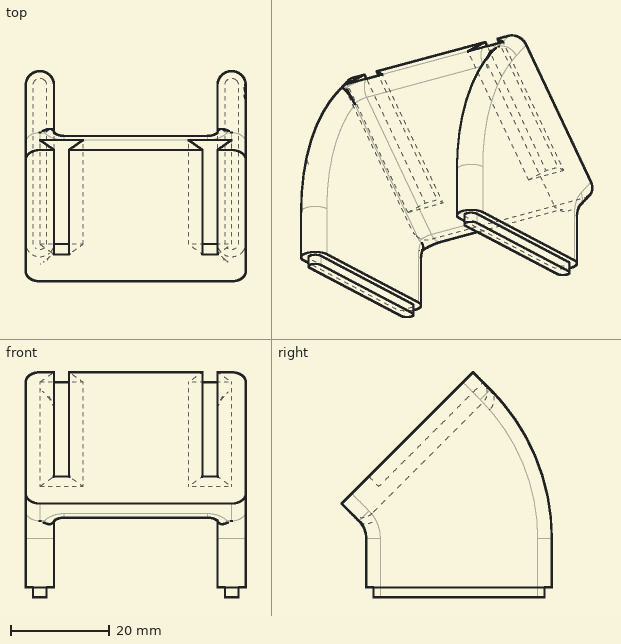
import cadquery as cq

overall_width = 44.8
wall_thickness = 5.8
edge_radius = wall_thickness / 2
round_center_span = 32.0
wall_length = round_center_span + wall_thickness
wall_center_x = (overall_width - wall_thickness) / 2
wall_inner_x = overall_width / 2 - wall_thickness
wall_height = 10.0

tongue_height = 2.0
tongue_thickness = 2.8

bend_angle = 45.0
bend_inner_radius = 5.0
pivot_y = -(wall_length / 2 + bend_inner_radius)

head_height = 5.0
bridge_thickness = wall_thickness
inner_corner_radius = 2.0
face_z = wall_height + head_height
bridge_underside_z = face_z - bridge_thickness
head_bottom_z = bridge_underside_z - inner_corner_radius

slot_mouth = 3.0
slot_depth = 2.9
slot_floor = slot_mouth + 2 * slot_depth
slot_length = 30.0
slot_center_x = wall_inner_x - slot_mouth / 2


def stadium(z, thickness):
    """Section of the -X wall: a Y-long slot outline around the common round centers."""
    return (
        cq.Workplane("XY", origin=(-wall_center_x, 0, z))
        .slot2D(round_center_span + thickness, thickness, 90)
    )


def tilt(body):
    """Carry a body from the upright position round the bend."""
    return body.rotate((0, pivot_y, wall_height), (1, pivot_y, wall_height), bend_angle)


def bend_up(section):
    """Sweep a section at the top of the upright walls round the bend."""
    return section.revolve(bend_angle, (0, pivot_y, 0), (1, pivot_y, 0))


def make_wall():
    """The -X wall with its tongue and its bend."""
    tongue = stadium(-tongue_height, tongue_thickness).extrude(tongue_height)
    upright = stadium(0, wall_thickness).extrude(wall_height)
    bend = bend_up(stadium(wall_height, wall_thickness))
    return tongue.union(upright).union(bend)


def make_head_envelope():
    """Tilted space of the head: its rounded outline, and below it the bend between the wall centers."""
    outline = (
        cq.Workplane("XY", origin=(0, 0, wall_height))
        .rect(overall_width, wall_length)
        .extrude(head_height)
        .edges("|Z")
        .fillet(edge_radius)
    )
    bend_zone = bend_up(
        cq.Workplane("XY", origin=(0, 0, wall_height)).rect(2 * wall_center_x, wall_length)
    )
    return tilt(outline).union(bend_zone)


def make_head():
    """Tilted bridge and wall tops, with the rim of the passage rounded over."""
    block = (
        cq.Workplane("XY", origin=(0, 0, head_bottom_z))
        .rect(overall_width, wall_length)
        .extrude(face_z - head_bottom_z)
    )
    passage = (
        cq.Workplane("XY")
        .rect(2 * wall_inner_x, wall_length)
        .extrude(bridge_underside_z)
        .edges("|Y and >Z")
        .fillet(inner_corner_radius)
    )
    arch = block.cut(passage)
    rim = cq.selectors.BoxSelector(
        (-wall_center_x, -wall_length, 0),
        (wall_center_x, wall_length, bridge_underside_z + edge_radius),
    )
    arch = arch.edges("<Y or >Y").edges(rim).fillet(edge_radius)
    return tilt(arch).intersect(make_head_envelope())


def make_dovetail():
    """Cutter for the -X slot, its mouth in line with the inner face of the wall."""
    half_mouth = slot_mouth / 2
    half_floor = slot_floor / 2
    return (
        cq.Workplane("XZ", origin=(-slot_center_x, wall_length / 2, face_z))
        .polyline([
            (-half_mouth, 0),
            (half_mouth, 0),
            (half_floor, -slot_depth),
            (-half_floor, -slot_depth),
        ])
        .close()
        .extrude(slot_length)
    )


def make_left_half():
    """Everything on the -X side of the symmetry plane."""
    left_space = (
        cq.Workplane("YZ")
        .circle(2 * (wall_length + face_z))
        .extrude(-overall_width)
    )
    return (
        make_head()
        .intersect(left_space)
        .union(make_wall())
        .cut(tilt(make_dovetail()))
    )


left_half = make_left_half()
result = left_half.union(left_half.mirror("YZ")).clean()